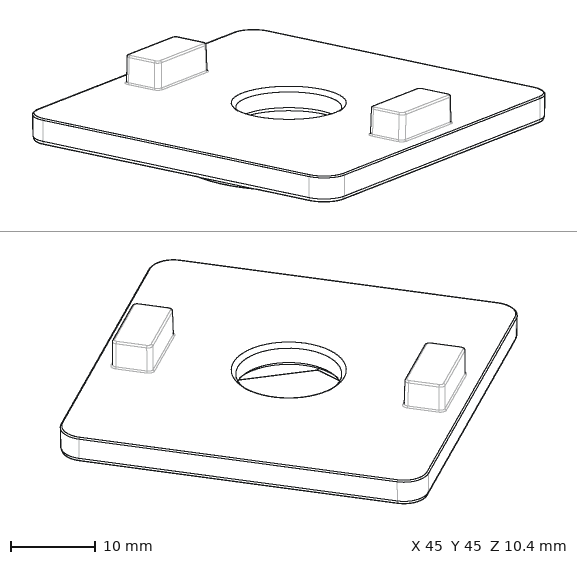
import cadquery as cq
import math

plate_side = 45.0
plate_thickness = 3.2
corner_radius = 3.0
plate_draft = 1.0
plate_top_chamfer = 0.2
plate_bottom_chamfer_height = 0.4
plate_bottom_chamfer_inset = 0.15

cone_top_radius = 17.9
cone_break_radius = 15.3
cone_bottom_radius = 13.0
cone_break_depth = 4.4
cone_depth = 6.95

hole_radius = 6.25
hole_chamfer = 0.55
hex_across_flats = 22.3
hex_roof_depth = 3.0

post_width = 5.0
post_length = 10.05
post_height = 3.45
post_offset = 17.85
post_corner_radius = 0.6
post_lean = 0.1
post_top_fillet = 0.22
post_base_fillet = 0.2


def rounded_rectangle(width, length, radius):
    return cq.Sketch().rect(width, length).vertices().fillet(radius)


def make_plate():
    rim_allowance = 2 * plate_top_chamfer * math.tan(math.radians(plate_draft))
    top_side = plate_side + rim_allowance
    plate = (
        cq.Workplane("XY")
        .placeSketch(rounded_rectangle(top_side, top_side, corner_radius))
        .extrude(-plate_thickness, taper=plate_draft)
    )
    plate = plate.faces(">Z").edges().chamfer(plate_top_chamfer)
    return plate.faces("<Z").edges().chamfer(plate_bottom_chamfer_height, plate_bottom_chamfer_inset)


def make_cone():
    return (
        cq.Workplane("XZ")
        .moveTo(0, -plate_thickness)
        .lineTo(cone_top_radius, -plate_thickness)
        .lineTo(cone_break_radius, -cone_break_depth)
        .lineTo(cone_bottom_radius, -cone_depth)
        .lineTo(0, -cone_depth)
        .close()
        .revolve(360, (0, 0, 0), (0, 1, 0))
    )


def make_post(side):
    """Post whose outer face is upright while its other three faces lean inwards."""
    base = rounded_rectangle(post_width, post_length, post_corner_radius)
    top = rounded_rectangle(post_width - post_lean, post_length - 2 * post_lean, post_corner_radius)
    top_shift = side * post_lean / 2
    post = (
        cq.Workplane("XY")
        .center(side * post_offset, 0)
        .placeSketch(base, top.moved(cq.Location(cq.Vector(top_shift, 0, post_height))))
        .loft()
    )
    return post.faces(">Z").edges().fillet(post_top_fillet)


def make_hole():
    """Hole from the plate's top face to the pocket roof, widened by a chamfer at both ends."""
    return (
        cq.Workplane("XZ")
        .lineTo(hole_radius + hole_chamfer, 0)
        .lineTo(hole_radius, -hole_chamfer)
        .lineTo(hole_radius, hole_chamfer - hex_roof_depth)
        .lineTo(hole_radius + hole_chamfer, -hex_roof_depth)
        .lineTo(0, -hex_roof_depth)
        .close()
        .revolve(360, (0, 0, 0), (0, 1, 0))
    )


def make_hex_pocket():
    """Hexagonal prism with two of its flats facing +X and -X."""
    across_corners = hex_across_flats / math.cos(math.radians(30))
    return (
        cq.Workplane("XY")
        .workplane(offset=-cone_depth)
        .transformed(rotate=(0, 0, 30))
        .polygon(6, across_corners)
        .extrude(cone_depth - hex_roof_depth)
    )


posts = make_post(-1).union(make_post(1))
result = make_plate().union(make_cone()).union(posts)

rim_clearance = 0.9
base_half_span = plate_side / 2 - rim_clearance
base_half_height = 0.05
post_base_edges = cq.selectors.BoxSelector(
    (-base_half_span, -base_half_span, -base_half_height),
    (base_half_span, base_half_span, base_half_height),
    boundingbox=True,
)
result = result.edges(post_base_edges).fillet(post_base_fillet)

result = result.cut(make_hole()).cut(make_hex_pocket())